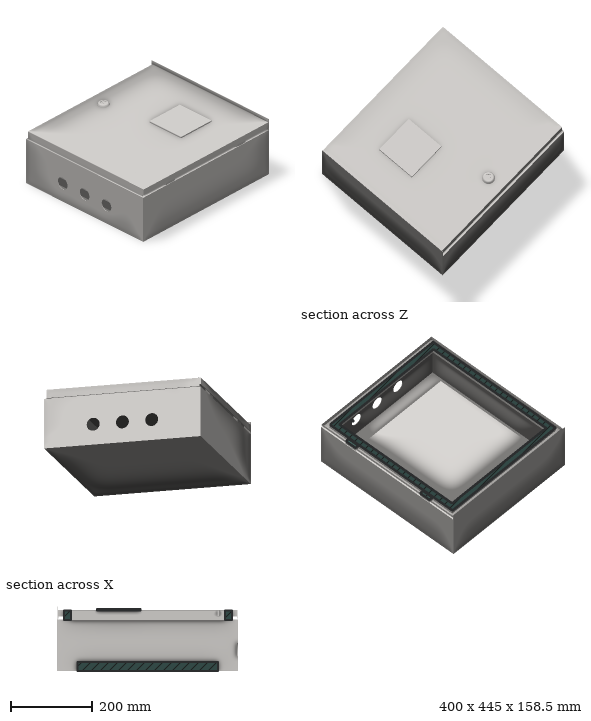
import cadquery as cq
import math

WIDTH = 400.0
DEPTH = 445.0
HEIGHT = 158.5
BOX_TOP = 127.0
WALL = 1.2
CABLE_HOLE_DIAMETER = 33.0
CABLE_HOLE_PITCH = 74.8
CABLE_HOLE_Z = 52.0
CABLE_HOLE_COUNT = 3

DOOR_LEFT = 5.5
DOOR_RIGHT = WIDTH
DOOR_FRONT = 2.0
DOOR_BACK_GAP = 2.5
DOOR_BACK = DEPTH - DOOR_BACK_GAP
DOOR_TOP = 150.0
DOOR_BOTTOM = 128.5
HINGE_FLANGE_BOTTOM = 133.5
HINGE_RELIEF_WIDTH = 3.5
DOOR_UNDERSIDE = DOOR_TOP - WALL
STUD_DIAMETER = 6.2
STUD_LENGTH = 13.5
STUD_X = 339.5
STUD_Y = 48.0

GASKET_MARGIN_LEFT = 10.0
GASKET_MARGIN_RIGHT = 13.0
GASKET_MARGIN_Y = 14.0
GASKET_WIDTH = 18.0
GASKET_LEFT = DOOR_LEFT + GASKET_MARGIN_LEFT
GASKET_RIGHT = DOOR_RIGHT - GASKET_MARGIN_RIGHT
GASKET_FRONT = DOOR_FRONT + GASKET_MARGIN_Y
GASKET_BACK = DOOR_BACK - GASKET_MARGIN_Y

HINGE_LENGTH = 33.0
HINGE_END_DISTANCE = 98.0
HINGE_GASKET_GAP = 1.5

WINDOW_SIDE = 108.0
WINDOW_LEFT = 190.0
WINDOW_FRONT = 239.5
WINDOW_THICKNESS = 3.5

LOCK_X = 49.5
LOCK_Y = DEPTH / 2
LOCK_BASE_RADIUS = 16.0
LOCK_SHOULDER_RADIUS = 14.0
LOCK_TOP_RADIUS = 9.5
LOCK_SHOULDER_HEIGHT = 3.5
LOCK_HEIGHT = 5.5
LOCK_CORE_RADIUS = 8.0
LOCK_CORE_RECESS = 1.5
KEY_SIDE = 8.5
KEY_HEIGHT = 1.0

PLATE_FRONT = 49.0
PLATE_SIDE_GAP = 22.2
PLATE_HEIGHT = 22.2


def block(x0, x1, y0, y1, z0, z1):
    return cq.Workplane("XY").box(x1 - x0, y1 - y0, z1 - z0, centered=False).translate((x0, y0, z0))


def disc(x, y, z, radius, height):
    return cq.Workplane("XY", origin=(x, y, z)).circle(radius).extrude(height)


def gasket_opening(z0, z1):
    """The clear space inside the gasket, which is also the opening in the box flange."""
    return block(
        GASKET_LEFT + GASKET_WIDTH, GASKET_RIGHT - GASKET_WIDTH,
        GASKET_FRONT + GASKET_WIDTH, GASKET_BACK - GASKET_WIDTH,
        z0, z1,
    )


def make_box():
    """Sheet-metal box with an inward top flange, a rear upstand and cable holes in the front wall."""
    body = block(0, WIDTH, 0, DEPTH, 0, BOX_TOP)
    body = body.cut(block(WALL, WIDTH - WALL, WALL, DEPTH - WALL, WALL, BOX_TOP - WALL))
    body = body.cut(gasket_opening(BOX_TOP - WALL, BOX_TOP))
    body = body.union(block(0, WIDTH, DEPTH - WALL, DEPTH, 0, HEIGHT))
    middle = (CABLE_HOLE_COUNT - 1) / 2
    centres = [(WIDTH / 2 + (i - middle) * CABLE_HOLE_PITCH, CABLE_HOLE_Z) for i in range(CABLE_HOLE_COUNT)]
    holes = cq.Workplane("XZ").pushPoints(centres).circle(CABLE_HOLE_DIAMETER / 2).extrude(-WALL)
    return body.cut(holes)


def make_door():
    """Tray-shaped door with a cut-back hinge flange, a hole for the lock and a stud underneath."""
    tray = block(DOOR_LEFT, DOOR_RIGHT, DOOR_FRONT, DOOR_BACK, DOOR_BOTTOM, DOOR_TOP)
    hollow = block(
        DOOR_LEFT + WALL, DOOR_RIGHT - WALL, DOOR_FRONT + WALL, DOOR_BACK - WALL, DOOR_BOTTOM, DOOR_UNDERSIDE
    )
    relief = block(
        DOOR_RIGHT - HINGE_RELIEF_WIDTH, DOOR_RIGHT, DOOR_FRONT, DOOR_BACK, DOOR_BOTTOM, HINGE_FLANGE_BOTTOM
    )
    lock_hole = disc(LOCK_X, LOCK_Y, DOOR_UNDERSIDE, LOCK_CORE_RADIUS, WALL)
    stud = disc(STUD_X, STUD_Y, DOOR_UNDERSIDE, STUD_DIAMETER / 2, -STUD_LENGTH)
    return tray.cut(hollow).cut(relief).union(stud).cut(lock_hole)


def make_gasket():
    outer = block(GASKET_LEFT, GASKET_RIGHT, GASKET_FRONT, GASKET_BACK, BOX_TOP, DOOR_UNDERSIDE)
    return outer.cut(gasket_opening(BOX_TOP, DOOR_UNDERSIDE))


def make_hinge(y):
    half = HINGE_LENGTH / 2
    return block(GASKET_RIGHT + HINGE_GASKET_GAP, DOOR_RIGHT - WALL, y - half, y + half, BOX_TOP, DOOR_UNDERSIDE)


def make_window():
    return block(
        WINDOW_LEFT, WINDOW_LEFT + WINDOW_SIDE, WINDOW_FRONT, WINDOW_FRONT + WINDOW_SIDE,
        DOOR_TOP, DOOR_TOP + WINDOW_THICKNESS,
    )


def make_lock_ring():
    """Collar with a conical base and a rounded shoulder."""
    shoulder_width = LOCK_SHOULDER_RADIUS - LOCK_TOP_RADIUS
    dome_rise = LOCK_HEIGHT - LOCK_SHOULDER_HEIGHT
    dome_middle = (
        LOCK_TOP_RADIUS + shoulder_width * math.sin(math.pi / 4),
        LOCK_SHOULDER_HEIGHT + dome_rise * math.sin(math.pi / 4),
    )
    ring = (
        cq.Workplane("XZ")
        .moveTo(LOCK_CORE_RADIUS, 0)
        .lineTo(LOCK_BASE_RADIUS, 0)
        .lineTo(LOCK_SHOULDER_RADIUS, LOCK_SHOULDER_HEIGHT)
        .threePointArc(dome_middle, (LOCK_TOP_RADIUS, LOCK_HEIGHT))
        .lineTo(LOCK_CORE_RADIUS, LOCK_HEIGHT)
        .close()
        .revolve(360, (0, 0, 0), (0, 1, 0))
    )
    return ring.translate((LOCK_X, LOCK_Y, DOOR_TOP))


def make_lock_core():
    """Cylinder through the door, sunk in the collar, with a raised triangular key."""
    face = DOOR_TOP + LOCK_HEIGHT - LOCK_CORE_RECESS
    core = disc(LOCK_X, LOCK_Y, DOOR_UNDERSIDE, LOCK_CORE_RADIUS, face - DOOR_UNDERSIDE)
    key = cq.Workplane("XY", origin=(LOCK_X, LOCK_Y, face)).transformed(rotate=(0, 0, 90))
    key_circle_diameter = KEY_SIDE * 2 / math.sqrt(3)
    key = key.polygon(3, key_circle_diameter).extrude(KEY_HEIGHT)
    return core.union(key)


def make_mounting_plate():
    return block(
        PLATE_SIDE_GAP, WIDTH - PLATE_SIDE_GAP, PLATE_FRONT, DEPTH - PLATE_FRONT, WALL, WALL + PLATE_HEIGHT
    )


box = make_box()
door = make_door()
gasket = make_gasket()
hinges = [make_hinge(y) for y in (HINGE_END_DISTANCE, DEPTH - HINGE_END_DISTANCE)]
window = make_window()
lock_ring = make_lock_ring()
lock_core = make_lock_core()
mounting_plate = make_mounting_plate()

result = cq.Compound.makeCompound([
    box.val(),
    door.val(),
    gasket.val(),
    *[hinge.val() for hinge in hinges],
    window.val(),
    lock_ring.val(),
    lock_core.val(),
    mounting_plate.val(),
])